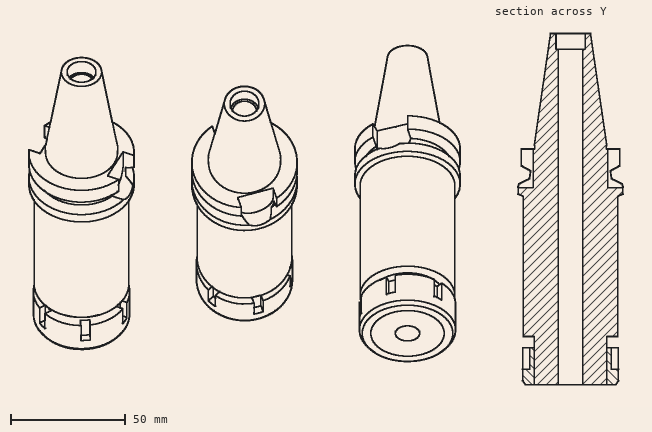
import cadquery as cq
import math


total_length = 153.4

gauge_z = 105.0
gauge_diameter = 31.8
taper_ratio = 7 / 24
shank_end_diameter = gauge_diameter - taper_ratio * (total_length - gauge_z)
shank_root_diameter = 31.5

flange_diameter = 46.0
flange_top_z = 103.0
upper_rim_bottom_z = 95.5
lower_rim_top_z = 87.7
lower_rim_bottom_z = 83.1
groove_diameter = 38.5
groove_wall_angle = 30
groove_wall_height = (flange_diameter - groove_diameter) / 2 * math.tan(math.radians(groove_wall_angle))
groove_top_z = upper_rim_bottom_z - groove_wall_height
groove_bottom_z = lower_rim_top_z + groove_wall_height
rim_chamfer_height = 0.9

drive_slot_width = 16.1
drive_slot_floor_x = 16.3
drive_slot_bottom_z = 86.2

body_diameter = 41.4
body_bottom_z = 21.0
neck_diameter = 32.0

bore_diameter = 10.6
counterbore_diameter = 12.6
counterbore_depth = 6.9

nut_diameter = 42.0
nut_height = 16.3
nut_chamfer_width = 1.2
nut_chamfer_height = 1.8
nut_slot_count = 6
nut_slot_width = 4.1
nut_slot_floor_radius = 17.8
nut_slot_bottom_z = 6.9


def make_holder_blank():
    """Shank, flange, body and neck revolved in one profile of (diameter, z) corners."""
    corners = [
        (neck_diameter, 0),
        (neck_diameter, body_bottom_z),
        (body_diameter, body_bottom_z),
        (body_diameter, lower_rim_bottom_z - rim_chamfer_height),
        (flange_diameter, lower_rim_bottom_z),
        (flange_diameter, lower_rim_top_z),
        (groove_diameter, groove_bottom_z),
        (groove_diameter, groove_top_z),
        (flange_diameter, upper_rim_bottom_z),
        (flange_diameter, flange_top_z),
        (shank_root_diameter, flange_top_z),
        (gauge_diameter, gauge_z),
        (shank_end_diameter, total_length),
    ]
    profile = [(0, 0)] + [(diameter / 2, z) for diameter, z in corners] + [(0, total_length)]
    return cq.Workplane("XZ").polyline(profile).close().revolve(360, (0, 0), (0, 1))


def make_bore():
    """Through bore with a counterbore at the small end of the shank."""
    bore = cq.Workplane("XY").circle(bore_diameter / 2).extrude(total_length)
    counterbore = (
        cq.Workplane("XY")
        .workplane(offset=total_length - counterbore_depth)
        .circle(counterbore_diameter / 2)
        .extrude(counterbore_depth)
    )
    return bore.union(counterbore)


def make_drive_slot():
    """Round-bottomed slot cutter on the +X side, open outward and upward."""
    half_width = drive_slot_width / 2
    arc_centre_z = drive_slot_bottom_z + half_width
    return (
        cq.Workplane("YZ")
        .workplane(offset=drive_slot_floor_x)
        .moveTo(-half_width, flange_top_z)
        .lineTo(-half_width, arc_centre_z)
        .threePointArc((0, drive_slot_bottom_z), (half_width, arc_centre_z))
        .lineTo(half_width, flange_top_z)
        .close()
        .extrude(flange_diameter / 2)
    )


def make_holder():
    holder = make_holder_blank().cut(make_bore())
    for angle in (0, 180):
        holder = holder.cut(make_drive_slot().rotate((0, 0, 0), (0, 0, 1), angle))
    return holder


def make_nut():
    """Chamfered ring around the neck, with wrench slots open at its upper face."""
    outer_radius = nut_diameter / 2
    inner_radius = neck_diameter / 2
    profile = [
        (inner_radius, 0),
        (outer_radius - nut_chamfer_width, 0),
        (outer_radius, nut_chamfer_height),
        (outer_radius, nut_height),
        (inner_radius, nut_height),
    ]
    nut = cq.Workplane("XZ").polyline(profile).close().revolve(360, (0, 0), (0, 1))

    slot = cq.Workplane("XY").box(
        outer_radius,
        nut_slot_width,
        nut_height - nut_slot_bottom_z,
        centered=(False, True, False),
    ).translate((nut_slot_floor_radius, 0, nut_slot_bottom_z))
    for index in range(nut_slot_count):
        nut = nut.cut(slot.rotate((0, 0, 0), (0, 0, 1), index * 360 / nut_slot_count))
    return nut


holder = make_holder()
nut = make_nut()
result = cq.Compound.makeCompound([holder.val(), nut.val()])